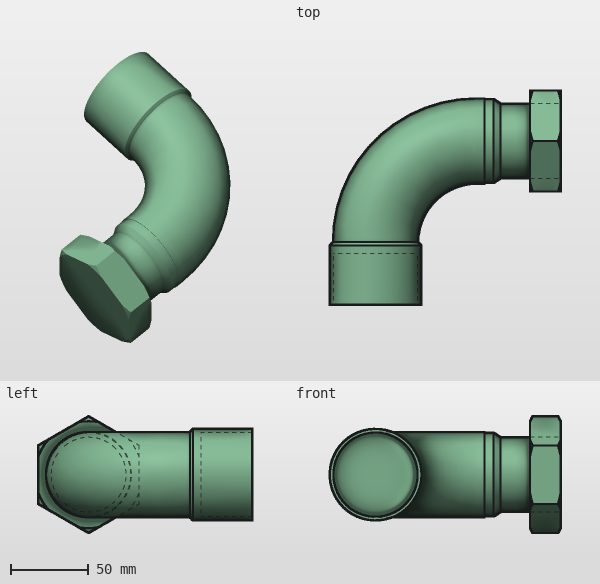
import cadquery as cq
import math

bend_diameter = 55.0
bend_radius = 64.9
outlet_straight = 5.0

socket_diameter = 59.0
socket_bore_diameter = 54.0
socket_length = 40.2
socket_bevel = (socket_diameter - bend_diameter) / 2
socket_depth = 33.1

collar_diameter = 54.0
collar_length = 6.0
neck_diameter = 48.1
cone_length = 4.5
neck_length = 18.7

nut_corners = 75.0
nut_length = 19.9
nut_face_diameter = 68.6
nut_chamfer_length = 1.8

socket_top_y = -bend_radius
socket_mouth_y = socket_top_y - socket_length
collar_start_x = bend_radius + outlet_straight
cone_start_x = collar_start_x + collar_length
neck_start_x = cone_start_x + cone_length
nut_start_x = neck_start_x + neck_length
nut_end_x = nut_start_x + nut_length


def revolve_about_x(profile):
    """Revolve a closed list of (x, radius) points about the X axis."""
    return cq.Workplane("XY").polyline(profile).close().revolve(360, (0, 0, 0), (1, 0, 0))


def make_socket():
    """Cup with a bevelled shoulder where it meets the bend."""
    radius = socket_diameter / 2
    profile = [
        (0, socket_mouth_y),
        (radius, socket_mouth_y),
        (radius, socket_top_y - socket_bevel),
        (bend_diameter / 2, socket_top_y),
        (0, socket_top_y),
    ]
    outside = cq.Workplane("XY").polyline(profile).close().revolve(360, (0, 0, 0), (0, 1, 0))
    bore = (
        cq.Workplane("XZ", origin=(0, socket_mouth_y, 0))
        .circle(socket_bore_diameter / 2)
        .extrude(-socket_depth)
    )
    return outside.cut(bore)


def make_elbow():
    """Quarter bend with the socket at one end and a short straight at the other."""
    mid_offset = bend_radius * (1 - math.cos(math.radians(45)))
    path = (
        cq.Workplane("XY")
        .moveTo(0, socket_top_y)
        .threePointArc((mid_offset, -mid_offset), (bend_radius, 0))
        .lineTo(collar_start_x, 0)
    )
    bend = (
        cq.Workplane("XZ", origin=(0, socket_top_y, 0))
        .circle(bend_diameter / 2)
        .sweep(path)
    )
    return bend.union(make_socket())


def make_tailpiece():
    """Collar, cone and neck; the neck runs through the nut."""
    collar_radius = collar_diameter / 2
    neck_radius = neck_diameter / 2
    return revolve_about_x([
        (collar_start_x, 0),
        (collar_start_x, collar_radius),
        (cone_start_x, collar_radius),
        (neck_start_x, neck_radius),
        (nut_end_x, neck_radius),
        (nut_end_x, 0),
    ])


def make_nut():
    """Hexagon with conically chamfered corners, bored to fit the neck."""
    hexagon = (
        cq.Workplane("YZ", origin=(nut_start_x, 0, 0))
        .transformed(rotate=(0, 0, 90))
        .polygon(6, nut_corners)
        .extrude(nut_length)
    )
    face_radius = nut_face_diameter / 2
    corner_radius = nut_corners / 2
    envelope = revolve_about_x([
        (nut_start_x, 0),
        (nut_start_x, face_radius),
        (nut_start_x + nut_chamfer_length, corner_radius),
        (nut_end_x - nut_chamfer_length, corner_radius),
        (nut_end_x, face_radius),
        (nut_end_x, 0),
    ])
    bore = (
        cq.Workplane("YZ", origin=(nut_start_x, 0, 0))
        .circle(neck_diameter / 2)
        .extrude(nut_length)
    )
    return hexagon.intersect(envelope).cut(bore)


elbow = make_elbow()
tailpiece = make_tailpiece()
nut = make_nut()

result = cq.Compound.makeCompound([elbow.val(), tailpiece.val(), nut.val()])